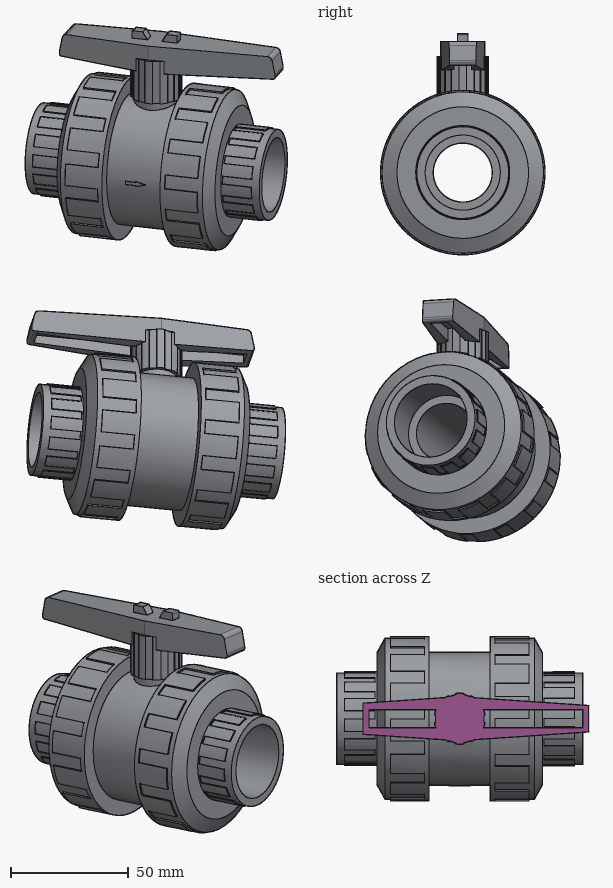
import cadquery as cq
import math

overall_height = 94.2
body_diameter = 56.7
body_half_length = 13.0
bore_diameter = 25.0
socket_diameter = 32.0
socket_depth = 23.1

tail_diameter = 39.0
tail_grip_diameter = 40.0
tail_end = 52.3
tail_grip_end = 48.9
tail_grip_root = 35.9

nut_diameter = 68.6
nut_grip_diameter = 70.0
nut_face_diameter = 56.0
nut_face = 35.3
nut_cone_start = 31.7
nut_grip_end = 29.5
nut_grip_root = 15.0

pad_count = 14
pad_pitch = 360 / pad_count
pad_angle = 15.7
first_pad_angle = 4.9

neck_diameter = 19.0
hub_diameter = 21.9
hub_groove_depth = 0.5
hub_bottom = 30.2
hub_top = 49.4
hub_rib_count = 10
hub_groove_width = 3.2

handle_left = -41.2
handle_right = 54.9
handle_top = 55.8
handle_ridge = -0.5
handle_half_width = 9.4
handle_side_taper = 0.068
handle_ridge_bottom = 43.3
handle_end_bottom = 45.7
handle_lean_start = 47.6
handle_end_lean = 1.6
handle_top_round = 2.1
handle_bottom_round = 1.1
channel_width = 7.6
channel_end_wall = 2.7

lug_width = 4.6
lug_top = overall_height - nut_grip_diameter / 2
lug_outer = 10.1
lug_inner_top = 5.3
lug_inner_bottom = 3.2
lug_round = 0.5

arrow_tail = -4.5
arrow_neck = 0.0
arrow_tip = 4.4
arrow_shaft_half = 0.8
arrow_head_half = 1.2
arrow_height = 0.2


def cylinder_x(diameter, start, end):
    return cq.Workplane("YZ", origin=(start, 0, 0)).circle(diameter / 2).extrude(end - start)


def sector(radius, middle_angle, arc_angle):
    """Triangle with its tip on the axis, reaching past the radius over one angular sector."""
    reach = 2 * radius
    angles = [math.radians(middle_angle + side * arc_angle / 2) for side in (-1, 1)]
    return [(0, 0)] + [(reach * math.cos(a), reach * math.sin(a)) for a in angles]


def grip_band(root_diameter, grip_diameter, start, root, end):
    """Raised band on the -X side, cut by gaps from its outer end towards its root."""
    band = cylinder_x(grip_diameter, -end, -start)
    gaps = cq.Workplane("YZ", origin=(-end, 0, 0))
    for index in range(pad_count):
        gap_middle = 180 - first_pad_angle + (index + 0.5) * pad_pitch
        gaps = gaps.polyline(sector(grip_diameter / 2, gap_middle, pad_pitch - pad_angle)).close()
    gaps = gaps.extrude(end - root).cut(cylinder_x(root_diameter, -end, -root))
    return band.cut(gaps)


def union_end():
    """Union nut and tail piece on the -X side."""
    profile = [
        (-body_half_length, 0),
        (-body_half_length, nut_diameter / 2),
        (-nut_cone_start, nut_diameter / 2),
        (-nut_face, nut_face_diameter / 2),
        (-nut_face, tail_diameter / 2),
        (-tail_end, tail_diameter / 2),
        (-tail_end, 0),
    ]
    core = cq.Workplane("XY").polyline(profile).close().revolve(360, (0, 0, 0), (1, 0, 0))
    nut_grip = grip_band(nut_diameter, nut_grip_diameter, body_half_length, nut_grip_root, nut_grip_end)
    tail_grip = grip_band(
        tail_diameter, tail_grip_diameter, nut_cone_start, tail_grip_root, tail_grip_end)
    return core.union(nut_grip).union(tail_grip)


def hub():
    """Fluted stem hub with a rib centred on each of -Y and +Y."""
    height = hub_top - hub_bottom
    ribbed = cq.Workplane("XY", origin=(0, 0, hub_bottom)).circle(hub_diameter / 2).extrude(height)
    groove = cq.Workplane("XY", origin=(hub_diameter / 2 - hub_groove_depth, 0, hub_bottom)).box(
        hub_diameter, hub_groove_width, height, centered=(False, True, False))
    pitch = 360 / hub_rib_count
    for index in range(hub_rib_count):
        angle = 90 + (index + 0.5) * pitch
        ribbed = ribbed.cut(groove.rotate((0, 0, 0), (0, 0, 1), angle))
    return ribbed


def handle():
    """Lever that is widest and deepest near the stem, hollow underneath."""
    side = [
        (handle_ridge, handle_ridge_bottom),
        (handle_right, handle_end_bottom),
        (handle_right, handle_lean_start),
        (handle_right - handle_end_lean, handle_top),
        (handle_left + handle_end_lean, handle_top),
        (handle_left, handle_lean_start),
        (handle_left, handle_end_bottom),
    ]
    lever = (
        cq.Workplane("XZ").polyline(side).close()
        .extrude(handle_half_width, both=True)
    )
    lever = lever.faces(">Z").edges("|Y").fillet(handle_top_round)
    for end in ("<X", ">X"):
        lever = lever.faces(end).edges("|Y and <Z").fillet(handle_bottom_round)

    left_half = handle_half_width + handle_side_taper * (handle_left - handle_ridge)
    right_half = handle_half_width - handle_side_taper * (handle_right - handle_ridge)
    plan = [
        (handle_left, -left_half),
        (handle_ridge, -handle_half_width),
        (handle_right, -right_half),
        (handle_right, right_half),
        (handle_ridge, handle_half_width),
        (handle_left, left_half),
    ]
    lever = lever.intersect(cq.Workplane("XY").polyline(plan).close().extrude(handle_top))

    channel_start = handle_left + channel_end_wall
    channel_end = handle_right - channel_end_wall
    channel = cq.Workplane("XY").box(
        channel_end - channel_start, channel_width, hub_top, centered=(False, True, False))
    return lever.cut(channel.translate((channel_start, 0, 0)))


def lug():
    """Small lug on the -X side of the handle top, sloping down towards the stem axis."""
    side = [
        (-lug_outer, handle_top),
        (-lug_outer, lug_top),
        (-lug_inner_top, lug_top),
        (-lug_inner_bottom, handle_top),
    ]
    block = cq.Workplane("XZ").polyline(side).close().extrude(lug_width / 2, both=True)
    return block.edges("|Y and <X and >Z").fillet(lug_round)


def flow_arrow():
    """Raised arrow on the -Y side of the body, pointing to +X."""
    outline = [
        (arrow_tail, -arrow_shaft_half),
        (arrow_neck, -arrow_shaft_half),
        (arrow_neck, -arrow_head_half),
        (arrow_tip, 0),
        (arrow_neck, arrow_head_half),
        (arrow_neck, arrow_shaft_half),
        (arrow_tail, arrow_shaft_half),
    ]
    prism = cq.Workplane("XZ").polyline(outline).close().extrude(body_diameter)
    skin = cylinder_x(body_diameter + 2 * arrow_height, -body_half_length, body_half_length)
    return prism.intersect(skin)


left_end = union_end()
right_end = left_end.rotate((0, 0, 0), (0, 0, 1), 180)
valve = cylinder_x(body_diameter, -body_half_length, body_half_length)
valve = valve.union(left_end).union(right_end).union(flow_arrow())

valve = valve.union(cq.Workplane("XY").circle(neck_diameter / 2).extrude(hub_bottom))

valve = valve.cut(cylinder_x(bore_diameter, -tail_end, tail_end))
valve = valve.cut(cylinder_x(socket_diameter, -tail_end, socket_depth - tail_end))
valve = valve.cut(cylinder_x(socket_diameter, tail_end - socket_depth, tail_end))

left_lug = lug()
right_lug = left_lug.mirror("YZ")
result = valve.union(hub()).union(handle()).union(left_lug).union(right_lug)